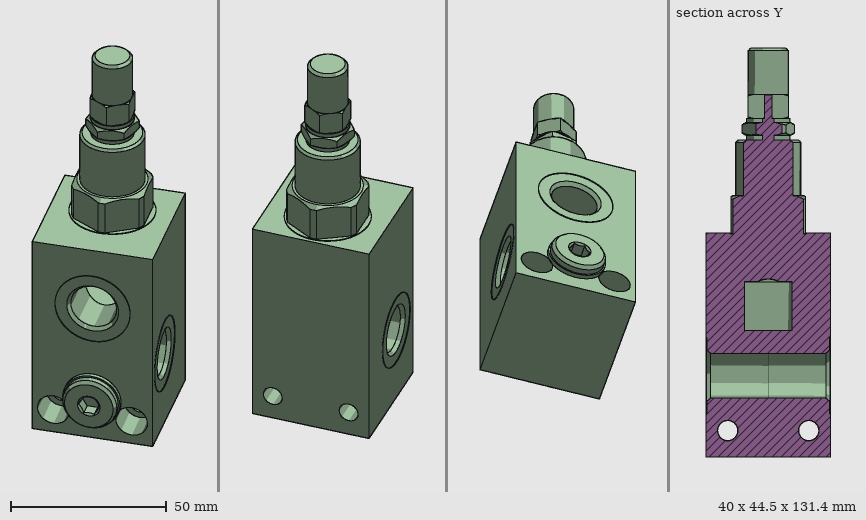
import cadquery as cq
import math


BLOCK_WIDTH = 40.0
BLOCK_DEPTH = 40.0
BLOCK_HEIGHT = 72.0
AXIS_TO_BACK = 15.5
BACK_Y = AXIS_TO_BACK
FRONT_Y = BACK_Y - BLOCK_DEPTH
SIDE_X = BLOCK_WIDTH / 2

PORT_DIAMETER = 15.2
PORT_CHAMFER_WIDTH = 0.99
PORT_CHAMFER_DEPTH = 1.3
PORT_FACE_DIAMETER = 25.0
SPOTFACE_DEPTH = 0.3
FRONT_PORT_Z = 49.5
CROSS_PORT_Y = -9.5
CROSS_PORT_Z = 26.1

CAVITY_DIAMETER = 20.4
CAVITY_FLOOR_Z = 40.7
CAVITY_ROOF_Z = 56.2
CARTRIDGE_FACE_DIAMETER = 28.0

MOUNT_HOLE_DIAMETER = 6.5
MOUNT_BORE_DIAMETER = 10.5
MOUNT_BORE_DEPTH = 10.5
MOUNT_HOLE_X = 13.0
MOUNT_HOLE_Z = 8.5

PLUG_Z = 15.0
PLUG_COLLAR_DIAMETER = 19.0
PLUG_COLLAR_LENGTH = 1.5
PLUG_HEAD_DIAMETER = 18.0
PLUG_PROJECTION = 4.5
PLUG_CHAMFER_WIDTH = 0.9
PLUG_CHAMFER_LENGTH = 1.2
PLUG_SHANK_DIAMETER = 13.0
PLUG_SHANK_LENGTH = 9.6
SOCKET_FLATS = 6.0
SOCKET_LEAD_IN_DIAMETER = 7.5
SOCKET_DEPTH = 5.3

BODY_HEX_FLATS = 24.0
BODY_HEX_ROUND_DIAMETER = 26.5
BODY_HEX_TOP_DIAMETER = 22.9
BODY_HEX_TOP_Z = 83.9
SLEEVE_DIAMETER = 21.0
SLEEVE_TOP_Z = 101.8
SLEEVE_CHAMFER = 0.8
NECK_DIAMETER = 14.0
NECK_TOP_Z = 108.8
NUT_FLATS = 15.0
NUT_FACE_DIAMETER = 14.3
NUT_BOTTOM_Z = 103.2
NUT_TOP_Z = 107.5
NUT_TURN = 11.0
STEM_DIAMETER = 13.0
STEM_HEX_FLATS = 13.0
STEM_HEX_FACE_DIAMETER = 13.5
STEM_HEX_TOP_Z = 116.4
STEM_TOP_Z = 131.4
STEM_CHAMFER = 0.9

HEX_CHAMFER_ANGLE = 30.0
QUARTER_TURN = 90
FULL_TURN = 360
FLATS_ACROSS_X_TURN = 30.0


def corner_diameter(flats):
    """Diameter across the corners of a hexagon."""
    return flats / math.cos(math.pi / 6)


def upright_cylinder(diameter, bottom, top):
    return cq.Workplane("XY").workplane(offset=bottom).circle(diameter / 2).extrude(top - bottom)


def front_cylinder(diameter, x, z, start_y, end_y):
    """Cylinder along Y between two Y positions, start_y in front of end_y."""
    plane = cq.Workplane("XZ", origin=(x, start_y, z))
    return plane.circle(diameter / 2).extrude(start_y - end_y)


def upright_hex(flats, bottom, top, turn):
    """Hexagonal prism on the cartridge axis, with its first corner at the turn angle from +X."""
    prism = cq.Workplane("XY").workplane(offset=bottom)
    prism = prism.polygon(6, corner_diameter(flats)).extrude(top - bottom)
    return prism.rotate((0, 0, 0), (0, 0, 1), turn)


def corner_trim(bottom, top, side_diameter, top_diameter, bottom_diameter):
    """Turned solid whose coned ends bevel the corners of a hexagon."""
    slope = math.tan(math.radians(HEX_CHAMFER_ANGLE))
    side = side_diameter / 2
    top_drop = (side_diameter - top_diameter) / 2 * slope
    bottom_rise = (side_diameter - bottom_diameter) / 2 * slope
    profile = cq.Workplane("XZ").moveTo(0, bottom).lineTo(bottom_diameter / 2, bottom)
    if bottom_rise > 0:
        profile = profile.lineTo(side, bottom + bottom_rise)
    profile = profile.lineTo(side, top - top_drop).lineTo(top_diameter / 2, top).lineTo(0, top)
    return profile.close().revolve(FULL_TURN, (0, 0, 0), (0, 1, 0))


def port_cutter(depth):
    """Spotfaced, chamfered port that opens at Z = 0 and runs down into -Z."""
    radius = PORT_DIAMETER / 2
    face_radius = PORT_FACE_DIAMETER / 2
    profile = (
        cq.Workplane("XZ")
        .lineTo(face_radius, 0)
        .lineTo(face_radius, -SPOTFACE_DEPTH)
        .lineTo(radius + PORT_CHAMFER_WIDTH, -SPOTFACE_DEPTH)
        .lineTo(radius, -SPOTFACE_DEPTH - PORT_CHAMFER_DEPTH)
        .lineTo(radius, -depth)
        .lineTo(0, -depth)
        .close()
    )
    return profile.revolve(FULL_TURN, (0, 0, 0), (0, 1, 0))


def make_block():
    block = cq.Workplane("XY").box(BLOCK_WIDTH, BLOCK_DEPTH, BLOCK_HEIGHT, centered=(True, False, False))
    block = block.translate((0, FRONT_Y, 0))

    block = block.cut(upright_cylinder(CAVITY_DIAMETER, CAVITY_FLOOR_Z, CAVITY_ROOF_Z))
    block = block.cut(
        upright_cylinder(CARTRIDGE_FACE_DIAMETER, BLOCK_HEIGHT - SPOTFACE_DEPTH, BLOCK_HEIGHT)
    )

    front_port = port_cutter(-FRONT_Y).rotate((0, 0, 0), (1, 0, 0), QUARTER_TURN)
    block = block.cut(front_port.translate((0, FRONT_Y, FRONT_PORT_Z)))

    for side in (-1, 1):
        cross_port = port_cutter(SIDE_X).rotate((0, 0, 0), (0, 1, 0), side * QUARTER_TURN)
        block = block.cut(cross_port.translate((side * SIDE_X, CROSS_PORT_Y, CROSS_PORT_Z)))

    for x in (-MOUNT_HOLE_X, MOUNT_HOLE_X):
        hole = front_cylinder(MOUNT_HOLE_DIAMETER, x, MOUNT_HOLE_Z, FRONT_Y, BACK_Y)
        bore = front_cylinder(MOUNT_BORE_DIAMETER, x, MOUNT_HOLE_Z, FRONT_Y, FRONT_Y + MOUNT_BORE_DEPTH)
        block = block.cut(hole).cut(bore)
    return block


def make_plug():
    face_y = FRONT_Y - PLUG_PROJECTION
    head = front_cylinder(PLUG_HEAD_DIAMETER, 0, PLUG_Z, face_y, FRONT_Y)
    head = head.faces("<Y").chamfer(PLUG_CHAMFER_LENGTH, PLUG_CHAMFER_WIDTH)
    collar = front_cylinder(PLUG_COLLAR_DIAMETER, 0, PLUG_Z, FRONT_Y - PLUG_COLLAR_LENGTH, FRONT_Y)
    shank = front_cylinder(PLUG_SHANK_DIAMETER, 0, PLUG_Z, FRONT_Y, FRONT_Y + PLUG_SHANK_LENGTH)

    socket = cq.Workplane("XZ", origin=(0, face_y, PLUG_Z))
    socket = socket.polygon(6, corner_diameter(SOCKET_FLATS)).extrude(-SOCKET_DEPTH)
    lead_in_radius = SOCKET_LEAD_IN_DIAMETER / 2
    flat_radius = SOCKET_FLATS / 2
    lead_in = cq.Solid.makeCone(
        lead_in_radius,
        flat_radius,
        lead_in_radius - flat_radius,
        pnt=cq.Vector(0, face_y, PLUG_Z),
        dir=cq.Vector(0, 1, 0),
    )
    return head.union(collar).union(shank).cut(socket).cut(cq.Workplane(lead_in))


def make_cartridge():
    hex_bottom = BLOCK_HEIGHT - SPOTFACE_DEPTH
    body_hex = upright_hex(BODY_HEX_FLATS, hex_bottom, BODY_HEX_TOP_Z, FLATS_ACROSS_X_TURN)
    body_hex = body_hex.intersect(
        corner_trim(
            hex_bottom,
            BODY_HEX_TOP_Z,
            side_diameter=BODY_HEX_ROUND_DIAMETER,
            top_diameter=BODY_HEX_TOP_DIAMETER,
            bottom_diameter=BODY_HEX_ROUND_DIAMETER,
        )
    )

    sleeve = upright_cylinder(SLEEVE_DIAMETER, BODY_HEX_TOP_Z, SLEEVE_TOP_Z)
    sleeve = sleeve.faces(">Z").chamfer(SLEEVE_CHAMFER)
    neck = upright_cylinder(NECK_DIAMETER, SLEEVE_TOP_Z, NECK_TOP_Z)

    nut = upright_hex(NUT_FLATS, NUT_BOTTOM_Z, NUT_TOP_Z, NUT_TURN)
    nut = nut.intersect(
        corner_trim(
            NUT_BOTTOM_Z,
            NUT_TOP_Z,
            side_diameter=corner_diameter(NUT_FLATS),
            top_diameter=NUT_FACE_DIAMETER,
            bottom_diameter=NUT_FACE_DIAMETER,
        )
    )

    stem_hex = upright_hex(STEM_HEX_FLATS, NECK_TOP_Z, STEM_HEX_TOP_Z, FLATS_ACROSS_X_TURN)
    stem_hex = stem_hex.intersect(
        corner_trim(
            NECK_TOP_Z,
            STEM_HEX_TOP_Z,
            side_diameter=corner_diameter(STEM_HEX_FLATS),
            top_diameter=STEM_HEX_FACE_DIAMETER,
            bottom_diameter=STEM_HEX_FACE_DIAMETER,
        )
    )
    stem = upright_cylinder(STEM_DIAMETER, STEM_HEX_TOP_Z, STEM_TOP_Z)
    stem = stem.faces(">Z").chamfer(STEM_CHAMFER)
    return body_hex.union(sleeve).union(neck).union(nut).union(stem_hex).union(stem)


result = make_block().union(make_plug()).union(make_cartridge())